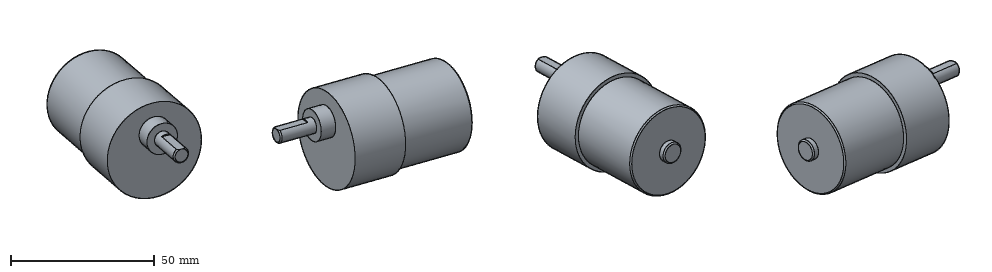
import cadquery as cq

total_length = 73.5

rear_boss_diameter = 8.0
rear_boss_length = 2.5
can_diameter = 34.0
can_length = 29.0
gearbox_diameter = 37.0
gearbox_length = 21.0
front_boss_diameter = 12.0
front_boss_length = 6.0
shaft_diameter = 6.0
shaft_offset = 7.0
flat_length = 12.0
flat_depth = 0.5
edge_chamfer = 0.5

can_start = rear_boss_length
gearbox_start = can_start + can_length
front_boss_start = gearbox_start + gearbox_length
shaft_start = front_boss_start + front_boss_length
shaft_length = total_length - shaft_start


def cylinder(start, length, diameter, height=0.0):
    """Solid cylinder along +X from x = start, with its axis at z = height."""
    return cq.Workplane("YZ", origin=(start, 0, height)).circle(diameter / 2).extrude(length)


def output_shaft():
    """Shaft with a chamfered tip and a flat on its upper side."""
    shaft = cylinder(shaft_start, shaft_length, shaft_diameter, shaft_offset)
    shaft = shaft.faces(">X").chamfer(edge_chamfer)
    flat_height = shaft_offset + shaft_diameter / 2 - flat_depth
    flat_cutter = cq.Workplane("XY", origin=(total_length - flat_length, 0, flat_height)).box(
        flat_length, shaft_diameter, shaft_diameter, centered=(False, True, False)
    )
    return shaft.cut(flat_cutter)


rear_boss = cylinder(0, rear_boss_length, rear_boss_diameter).faces("<X").chamfer(edge_chamfer)
can = cylinder(can_start, can_length, can_diameter).faces("<X").chamfer(edge_chamfer)
gearbox = cylinder(gearbox_start, gearbox_length, gearbox_diameter)
front_boss = cylinder(front_boss_start, front_boss_length, front_boss_diameter, shaft_offset)

result = gearbox.union(can).union(rear_boss).union(front_boss).union(output_shaft())